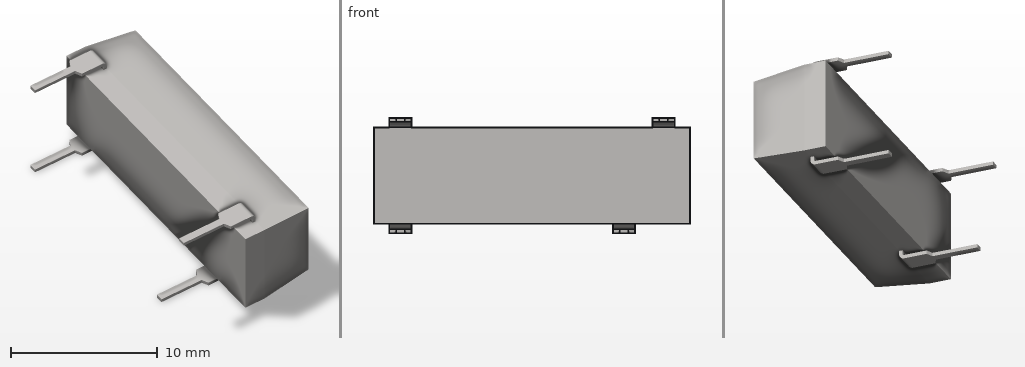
import cadquery as cq
import math


length = 21.55
height = 6.58
base_depth = 1.57
cover_depth = 3.9
cover_draft = 5.0

lead_span = 7.87
lead_thickness = 0.25
lead_length = 5.6
shoulder_width = 1.53
shoulder_length = 2.05
neck_length = 0.24
pin_width = 0.55
bend_inner_radius = 0.13
bend_outer_radius = bend_inner_radius + lead_thickness

outer_lead_x = 8.97
inner_lead_x = 6.27
upper_row_x = [-outer_lead_x, outer_lead_x]
lower_row_x = [-outer_lead_x, inner_lead_x]


def make_base():
    """Rectangular block on the lead side of the parting plane."""
    return cq.Workplane("XZ").rect(length, height).extrude(base_depth)


def make_cover():
    """Block that narrows by the draft angle away from the parting plane."""
    return cq.Workplane("XZ").rect(length, height).extrude(-cover_depth, taper=cover_draft)


def make_lead(x):
    """Upper-row lead: it leaves the housing wall, bends through 90 degrees and runs toward -Y."""
    wall = height / 2
    outer_face = lead_span / 2
    inner_face = outer_face - lead_thickness
    bend_center_y = -bend_outer_radius
    bend_center_z = outer_face - bend_outer_radius
    diagonal = math.sqrt(0.5)

    bent_strip = (
        cq.Workplane("YZ", origin=(x - shoulder_width / 2, 0, 0))
        .moveTo(0, wall)
        .lineTo(0, bend_center_z)
        .threePointArc(
            (bend_center_y + bend_outer_radius * diagonal, bend_center_z + bend_outer_radius * diagonal),
            (bend_center_y, outer_face),
        )
        .lineTo(-lead_length, outer_face)
        .lineTo(-lead_length, inner_face)
        .lineTo(bend_center_y, inner_face)
        .threePointArc(
            (bend_center_y + bend_inner_radius * diagonal, bend_center_z + bend_inner_radius * diagonal),
            (-lead_thickness, bend_center_z),
        )
        .lineTo(-lead_thickness, wall)
        .close()
        .extrude(shoulder_width)
    )

    neck_end = shoulder_length + neck_length
    plan_outline = (
        cq.Workplane("XY", origin=(x, 0, 0))
        .polyline([
            (-shoulder_width / 2, 0),
            (shoulder_width / 2, 0),
            (shoulder_width / 2, -shoulder_length),
            (pin_width / 2, -neck_end),
            (pin_width / 2, -lead_length),
            (-pin_width / 2, -lead_length),
            (-pin_width / 2, -neck_end),
            (-shoulder_width / 2, -shoulder_length),
        ])
        .close()
        .extrude(lead_span)
    )
    return bent_strip.intersect(plan_outline)


base = make_base()
cover = make_cover()
upper_leads = [make_lead(x) for x in upper_row_x]
lower_leads = [make_lead(x).mirror("XY") for x in lower_row_x]

result = cq.Compound.makeCompound(
    [base.val(), cover.val()] + [lead.val() for lead in upper_leads + lower_leads]
)